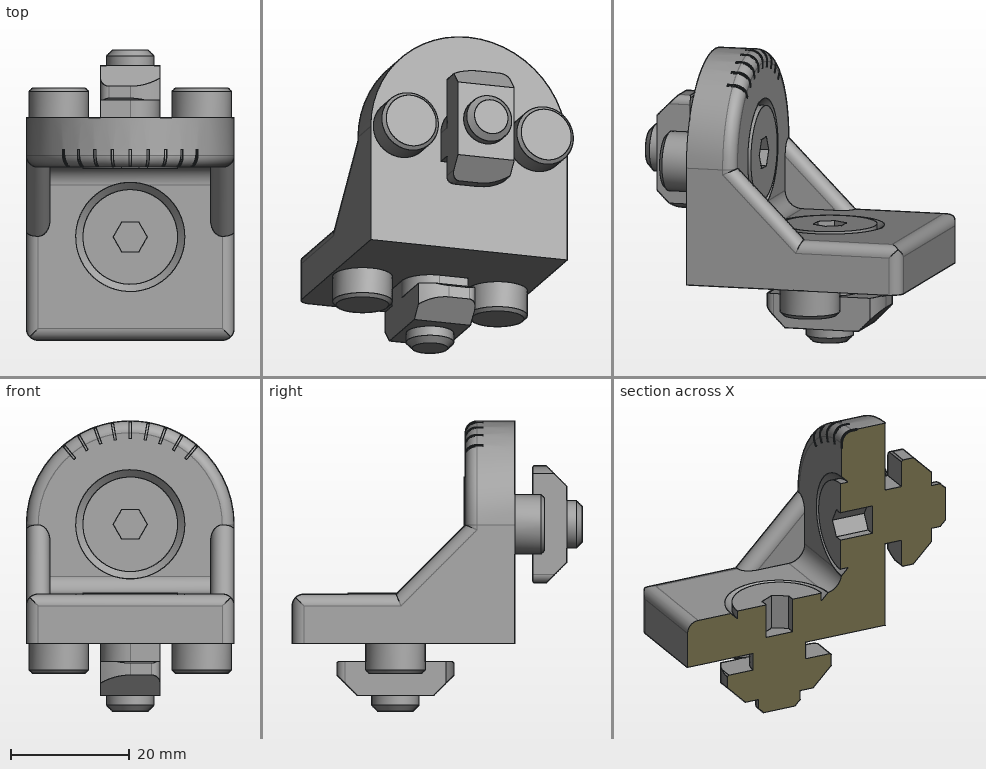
import cadquery as cq
import math

overall_length = 48.9
width = 35.0
leg_length = 37.5
leg_thickness = 8.35
cheek_thickness = 4.0
edge_radius = cheek_thickness / 2
inner_corner_radius = 3.0
arch_radius = width / 2
arch_height = leg_length - arch_radius

fastener_distance = 20.1

mark_count = 9
mark_step_angle = 10
mark_width = 0.4
mark_depth = 0.2
mark_length = 3.0

recess_radius = 9.2
recess_clearance = 0.5
head_radius = 7.95
head_height = 0.2
socket_flats = 5.0
socket_depth = 6.0
stud_radius = 4.0
stud_chamfer = 1.05
stud_end = overall_length - leg_length

nut_width = 10.02
nut_half_length = 9.9
nut_start = 3.0
nut_end = 8.75
nut_end_chamfer = 3.45
nut_inner_chamfer = 0.3
nut_corner_radius = 1.4

peg_radius = 5.05
peg_length = 5.0
peg_chamfer = 0.6
peg_offset = 12.05


def make_foot():
    """Lower leg, with equal rounds that meet in mitred corners."""
    block = cq.Workplane("XY").box(width, leg_length, leg_thickness, centered=(True, False, False))
    block = block.translate((0, -leg_length, 0))
    foot = block
    for edges in ("|X and <Y and >Z", "|Y and >Z", "|Z and <Y"):
        foot = foot.intersect(block.edges(edges).fillet(edge_radius))
    return foot


def make_upright():
    """Upper leg, ending in a half-round arch with a rounded front rim."""
    half = width / 2
    outline = (
        cq.Workplane("XZ")
        .moveTo(-half, 0)
        .lineTo(-half, arch_height)
        .threePointArc((0, leg_length), (half, arch_height))
        .lineTo(half, 0)
        .close()
    )
    upright = outline.extrude(leg_thickness)
    return upright.faces("<Y").edges("not <Z").fillet(edge_radius)


def make_cheek(side):
    """Side web with a fully rounded 45 degree crest; side is -1 or 1."""
    crest_sum = leg_thickness + arch_height
    web = (
        cq.Workplane("YZ")
        .polyline([(0, 0), (-crest_sum, 0), (-leg_thickness, arch_height), (0, arch_height)])
        .close()
        .extrude(cheek_thickness / 2, both=True)
    )
    slot_length = 2 * crest_sum
    crest_height = crest_sum / math.sqrt(2)
    bar = (
        cq.Workplane("XZ")
        .center(0, crest_height - slot_length / 2)
        .slot2D(slot_length, cheek_thickness, 90)
        .extrude(crest_sum, both=True)
        .rotate((0, 0, 0), (1, 0, 0), 45)
    )
    return web.intersect(bar).translate((side * (width - cheek_thickness) / 2, 0, 0))


def make_inner_corner():
    """Concave round where the two legs meet, between the cheeks."""
    near = leg_thickness
    far = leg_thickness + inner_corner_radius
    middle = far - inner_corner_radius / math.sqrt(2)
    return (
        cq.Workplane("YZ")
        .moveTo(-near, near)
        .lineTo(-far, near)
        .threePointArc((-middle, middle), (-near, far))
        .close()
        .extrude((width - cheek_thickness) / 2, both=True)
    )


def make_mark_cutter(angle):
    """Shallow groove following the arch top, its rim and the front face."""
    floor_radius = arch_radius - mark_depth
    floor_front = -(leg_thickness - mark_depth)
    floor_round = edge_radius - mark_depth
    inner_radius = arch_radius - mark_length
    back = -(leg_thickness - mark_length)
    margin = 0.5
    outer_radius = arch_radius + margin
    outer_front = -(leg_thickness + margin)
    sagitta = floor_round * (1 - 1 / math.sqrt(2))
    return (
        cq.Workplane("YZ")
        .moveTo(back, outer_radius)
        .lineTo(back, floor_radius)
        .lineTo(floor_front + floor_round, floor_radius)
        .threePointArc(
            (floor_front + sagitta, floor_radius - sagitta),
            (floor_front, floor_radius - floor_round),
        )
        .lineTo(floor_front, inner_radius)
        .lineTo(outer_front, inner_radius)
        .lineTo(outer_front, outer_radius)
        .close()
        .extrude(mark_width / 2, both=True)
        .rotate((0, 0, 0), (0, 1, 0), angle)
        .translate((0, 0, arch_height))
    )


def back_plane(distance):
    """Plane parallel to the leg at a distance behind its back face; extrudes backwards."""
    return cq.Workplane("XZ", origin=(0, distance, 0))


def make_recess():
    """Conical recess around the screw head, narrowing at 45 degrees to the head."""
    depth = recess_radius - head_radius
    front = leg_thickness + recess_clearance
    return (
        cq.Workplane("XY")
        .polyline(
            [
                (0, -front),
                (recess_radius, -front),
                (recess_radius, -leg_thickness),
                (head_radius, depth - leg_thickness),
                (0, depth - leg_thickness),
            ]
        )
        .close()
        .revolve(360, (0, 0, 0), (0, 1, 0))
    )


def make_screw():
    """Round screw head in the recess, and the chamfered stud end behind the nut."""
    head = back_plane(0).circle(head_radius).extrude(leg_thickness + head_height)
    stud = back_plane(0).circle(stud_radius).extrude(-stud_end).faces(">Y").chamfer(stud_chamfer)
    return head.union(stud)


def make_socket():
    """Hexagon socket in the screw head, two corners along X."""
    corner_diameter = socket_flats / math.cos(math.pi / 6)
    head_front = leg_thickness + head_height
    return back_plane(-head_front).polygon(6, corner_diameter).extrude(-socket_depth)


def make_nut():
    """Quarter-turn slot nut: two opposite corners swept round, ends bevelled at 45 degrees."""
    half = nut_width / 2
    length = nut_half_length
    flat = half - nut_corner_radius
    shoulder = length - nut_corner_radius
    corner = nut_corner_radius / math.sqrt(2)
    swept_end = math.sqrt(length**2 - half**2)
    swept_middle = math.sqrt(length**2 - (half / 2) ** 2)
    outline = (
        back_plane(nut_start)
        .moveTo(-half, shoulder)
        .threePointArc((-flat - corner, shoulder + corner), (-flat, length))
        .lineTo(0, length)
        .threePointArc((half / 2, swept_middle), (half, swept_end))
        .lineTo(half, -shoulder)
        .threePointArc((flat + corner, -shoulder - corner), (flat, -length))
        .lineTo(0, -length)
        .threePointArc((-half / 2, -swept_middle), (-half, -swept_end))
        .close()
    )
    body = outline.extrude(nut_start - nut_end)
    bevel = (
        back_plane(nut_start)
        .rect(nut_width, 2 * length)
        .extrude(nut_start - nut_end)
        .faces(">Y")
        .edges("|X")
        .chamfer(nut_end_chamfer)
        .faces("<Y")
        .edges("|X")
        .chamfer(nut_inner_chamfer)
    )
    turning_cylinder = back_plane(0).circle(half).extrude(-nut_start)
    square_corners = (
        back_plane(0)
        .pushPoints([(-half / 2, half / 2), (half / 2, -half / 2)])
        .rect(half, half)
        .extrude(-nut_start)
    )
    neck = turning_cylinder.union(square_corners)
    return body.intersect(bevel).union(neck)


def make_pegs():
    """Pair of chamfered locating pegs beside the nut."""
    return (
        back_plane(0)
        .pushPoints([(-peg_offset, 0), (peg_offset, 0)])
        .circle(peg_radius)
        .extrude(-peg_length)
        .faces(">Y")
        .chamfer(peg_chamfer)
    )


def place_on_legs(feature):
    """The feature on the upright, and turned a quarter turn onto the foot."""
    on_upright = feature.translate((0, 0, fastener_distance))
    on_foot = feature.rotate((0, 0, 0), (1, 0, 0), -90).translate((0, -fastener_distance, 0))
    return on_upright, on_foot


result = make_foot().union(make_upright()).union(make_inner_corner())
for side in (-1, 1):
    result = result.union(make_cheek(side))

for index in range(mark_count):
    mark_angle = (index - (mark_count - 1) / 2) * mark_step_angle
    result = result.cut(make_mark_cutter(mark_angle))

for recess in place_on_legs(make_recess()):
    result = result.cut(recess)
for added in (make_screw(), make_nut(), make_pegs()):
    for placed in place_on_legs(added):
        result = result.union(placed)
for socket in place_on_legs(make_socket()):
    result = result.cut(socket)